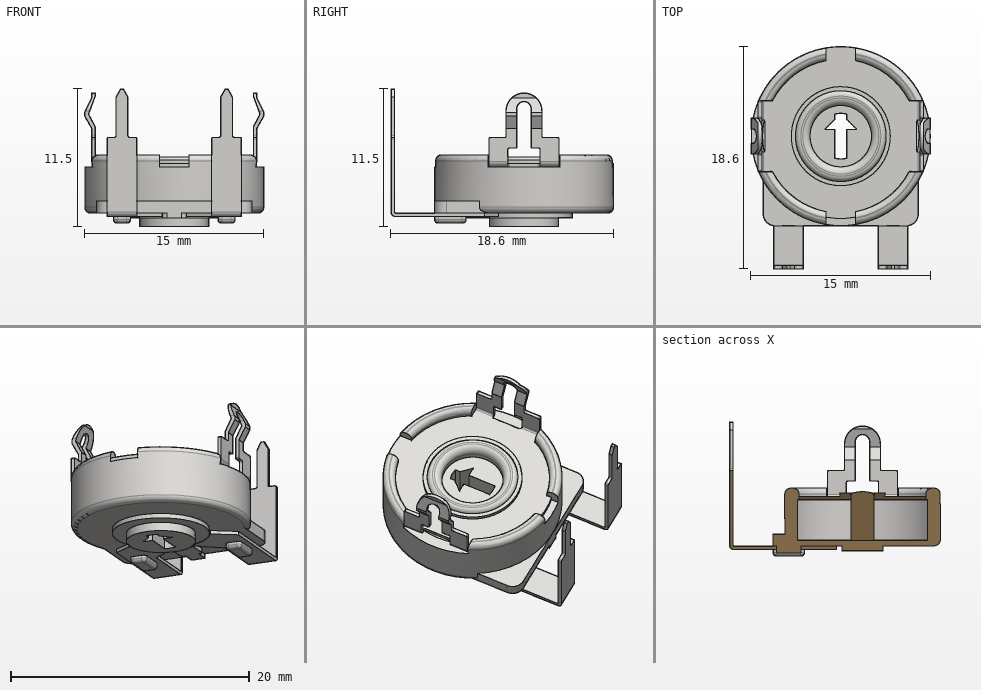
import cadquery as cq
import math


overall_length = 18.64
sheet = 0.3
margin = 0.19

housing_radius = 15.0 / 2
housing_bottom_fillet = 0.5
ledge_z = 3.88
cavity_radius = 13.1 / 2
floor_z = 0.5
rim_top_z = 4.88
rim_inner_radius = 6.45
rim_fillet = 0.5
side_notch_width = 6.0
end_notch_width = 2.46
slab_half_width = 6.5
slab_height = 1.0
slab_front_y = -7.51
slab_corner_radius = 1.0
collar_radius = 4.06
collar_depth = 0.4
rib_width = 1.23
rib_root_width = 2.01
rib_root_front_y = -6.34
rib_root_radius = 0.4

pad_width = 1.44
pad_length = 2.65
pad_center_y = -6.17
pad_bottom_z = -0.84
pad_corner_radius = 0.34
pad_bottom_fillet = 0.3

rotor_radius = 3.8
rotor_top_z = 4.72
rotor_outer_fillet = 0.45
shaft_radius = 5.8 / 2
shaft_bottom_z = -1.12
cup_radius = 2.57
cup_floor_z = 3.67
cup_mouth_fillet = 0.62
arrow_radius = 3.8 / 2
arrow_shaft_width = 0.99
arrow_head_width = 2.65
arrow_head_base_y = 0.58

cover_top_z = ledge_z + sheet
cover_collar_radius = 8.3 / 2
cover_collar_height = 0.28
cover_collar_top_z = cover_top_z + cover_collar_height
cover_front_tab_radius = 6.9

clip_outer_x = 6.92
clip_elbow_x = 7.51
clip_root_x = 6.35
clip_half_width = 2.95
clip_foot_gap_half = 1.35
clip_foot_gap_top_z = 5.45
clip_shoulder_z = 6.34
clip_neck_half = 1.51
clip_slot_half = 0.6
clip_slot_top_z = 9.34
clip_top_z = 10.07
clip_corner_fillet = 0.11
clip_bend_radius = 0.45
kink_bottom_z = 7.15
kink_elbow_z = 8.3
kink_top_z = 9.73
kink_lag = 0.07
elbow_thickness = 0.34
elbow_flat = 0.15
foot_gap_corner_radius = 0.15

terminal_x = 4.38
terminal_width = 2.5
terminal_front_y = housing_radius - overall_length
terminal_end_y = -3.32
terminal_shoulder_z = 6.35
terminal_top_z = 10.38
pin_width = 1.0
pin_tip_width = 0.26
pin_taper_z = 9.71
shoulder_fillet = 0.13
terminal_bend_radius = 0.4
hook_radius = 4.18
hook_end_y = -2.12
hook_tip_x = 1.05
hook_tip_y = -4.47
hook_root_y = -5.96


def cylinder(radius, bottom_z, top_z):
    return cq.Workplane("XY").workplane(offset=bottom_z).circle(radius).extrude(top_z - bottom_z)


def block(x_range, y_range, z_range):
    size = [high - low for low, high in (x_range, y_range, z_range)]
    corner = (x_range[0], y_range[0], z_range[0])
    return cq.Workplane("XY").box(*size, centered=False).translate(corner)


def rivet_pad(x):
    pad = block(
        (x - pad_width / 2, x + pad_width / 2),
        (pad_center_y - pad_length / 2, pad_center_y + pad_length / 2),
        (pad_bottom_z, floor_z),
    )
    return pad.edges("|Z").fillet(pad_corner_radius).faces("<Z").edges().fillet(pad_bottom_fillet)


def make_rim():
    rim = cylinder(housing_radius, ledge_z, rim_top_z).cut(cylinder(rim_inner_radius, ledge_z, rim_top_z))
    rim = rim.faces(">Z").edges().fillet(rim_fillet)
    reach = 2 * housing_radius
    height = rim_top_z - ledge_z
    for x_size, y_size in ((reach, side_notch_width), (end_notch_width, reach)):
        notch = cq.Workplane("XY").box(x_size, y_size, height, centered=(True, True, False))
        rim = rim.cut(notch.translate((0, 0, ledge_z)))
    return rim


def make_housing():
    body = cylinder(housing_radius, 0, ledge_z).faces("<Z").edges().fillet(housing_bottom_fillet)
    slab = block((-slab_half_width, slab_half_width), (slab_front_y, 0), (0, slab_height))
    slab = slab.edges("|Z and <Y").fillet(slab_corner_radius)
    collar = cylinder(collar_radius, -collar_depth, slab_height)
    rib = block((-rib_width / 2, rib_width / 2), (slab_front_y, 0), (-collar_depth, slab_height))
    rib_root = block(
        (-rib_root_width / 2, rib_root_width / 2), (rib_root_front_y, 0), (-collar_depth, slab_height)
    )
    rib_root = rib_root.edges("|Z and <Y").fillet(rib_root_radius)
    body = body.union(slab).union(collar).union(rib).union(rib_root).union(make_rim())
    for side in (-1, 1):
        body = body.union(rivet_pad(side * terminal_x))
    body = body.cut(cylinder(cavity_radius, floor_z, ledge_z))
    return body.cut(cylinder(shaft_radius, -collar_depth, floor_z))


def arrow_slot():
    half_shaft = arrow_shaft_width / 2
    half_head = arrow_head_width / 2
    head_side_y = arrow_head_base_y + half_head - half_shaft
    right_side = [
        (half_shaft, -arrow_radius),
        (half_shaft, arrow_head_base_y),
        (half_head, arrow_head_base_y),
        (half_shaft, head_side_y),
        (half_shaft, arrow_radius),
    ]
    left_side = [(-x, y) for x, y in reversed(right_side)]
    depth = cup_floor_z - shaft_bottom_z
    slot = cq.Workplane("XY").workplane(offset=shaft_bottom_z)
    slot = slot.polyline(right_side + left_side).close().extrude(depth)
    return slot.intersect(cylinder(arrow_radius, shaft_bottom_z, cup_floor_z))


def make_rotor():
    rotor = cylinder(rotor_radius, floor_z, rotor_top_z)
    rotor = rotor.faces(">Z").edges().fillet(rotor_outer_fillet)
    rotor = rotor.union(cylinder(shaft_radius, shaft_bottom_z, floor_z))
    rotor = rotor.cut(cylinder(cup_radius, cup_floor_z, rotor_top_z))
    inner_edge = cq.selectors.RadiusNthSelector(0)
    rotor = rotor.faces(">Z").edges(inner_edge).fillet(cup_mouth_fillet)
    return rotor.cut(arrow_slot())


def clip_outline():
    """Clip seen along X: two feet, a neck and a round arch with a slot, as a thick blank."""
    arch_z = clip_top_z - clip_neck_half
    slot_arch_z = clip_slot_top_z - clip_slot_half
    outline = (
        cq.Workplane("YZ")
        .moveTo(clip_foot_gap_half, ledge_z)
        .lineTo(clip_half_width, ledge_z)
        .lineTo(clip_half_width, clip_shoulder_z)
        .lineTo(clip_neck_half, clip_shoulder_z)
        .lineTo(clip_neck_half, arch_z)
        .threePointArc((0, clip_top_z), (-clip_neck_half, arch_z))
        .lineTo(-clip_neck_half, clip_shoulder_z)
        .lineTo(-clip_half_width, clip_shoulder_z)
        .lineTo(-clip_half_width, ledge_z)
        .lineTo(-clip_foot_gap_half, ledge_z)
        .lineTo(-clip_foot_gap_half, clip_foot_gap_top_z)
        .lineTo(-clip_slot_half, clip_foot_gap_top_z)
        .lineTo(-clip_slot_half, slot_arch_z)
        .threePointArc((0, clip_slot_top_z), (clip_slot_half, slot_arch_z))
        .lineTo(clip_slot_half, clip_foot_gap_top_z)
        .lineTo(clip_foot_gap_half, clip_foot_gap_top_z)
        .close()
        .extrude(clip_elbow_x + margin)
    )
    corners = cq.selectors.BoxSelector(
        (0, -clip_half_width - margin, clip_foot_gap_top_z - margin),
        (clip_elbow_x + margin, clip_half_width + margin, clip_shoulder_z + margin),
    )
    return outline.edges("|X").edges(corners).fillet(clip_corner_fillet)


def clip_sheet():
    """Clip seen along Y: sheet bent up from the cover, kinked outward and back."""
    inner_x = clip_outer_x - sheet
    elbow_inner_x = clip_elbow_x - elbow_thickness
    profile = [
        (clip_root_x, ledge_z),
        (clip_outer_x, ledge_z),
        (clip_outer_x, kink_bottom_z - kink_lag),
        (clip_elbow_x, kink_elbow_z - elbow_flat),
        (clip_elbow_x, kink_elbow_z + elbow_flat),
        (clip_outer_x, kink_top_z - kink_lag),
        (clip_outer_x, clip_top_z),
        (inner_x, clip_top_z),
        (inner_x, kink_top_z + kink_lag),
        (elbow_inner_x, kink_elbow_z),
        (inner_x, kink_bottom_z + kink_lag),
        (inner_x, cover_top_z),
        (clip_root_x, cover_top_z),
    ]
    strip = cq.Workplane("XZ").polyline(profile).close().extrude(clip_half_width, both=True)
    strip = strip.edges(cq.NearestToPointSelector((clip_outer_x, 0, ledge_z))).fillet(clip_bend_radius)
    inner_bend = cq.NearestToPointSelector((inner_x, 0, cover_top_z))
    return strip.edges(inner_bend).fillet(clip_bend_radius - sheet)


def cover_tab(direction, radius):
    """Tab along +Y or -Y, rounded off at the given radius."""
    y_range = sorted((0, direction * housing_radius))
    tab = block((-end_notch_width / 2, end_notch_width / 2), y_range, (ledge_z, cover_top_z))
    return tab.intersect(cylinder(radius, ledge_z, cover_top_z))


def make_cover():
    x_range = (-clip_root_x, clip_root_x)
    z_range = (ledge_z, cover_top_z)
    trimming = block(x_range, (-housing_radius, housing_radius), z_range)
    wings = block(x_range, (-clip_half_width, clip_half_width), z_range)
    cover = cylinder(rim_inner_radius, ledge_z, cover_top_z).intersect(trimming).union(wings)
    cover = cover.union(cover_tab(1, housing_radius))
    cover = cover.union(cover_tab(-1, cover_front_tab_radius))
    cover = cover.union(cylinder(cover_collar_radius, ledge_z, cover_collar_top_z))
    clip = clip_sheet().intersect(clip_outline())
    cover = cover.union(clip).union(clip.mirror("YZ"))
    for x in (-clip_root_x, clip_root_x):
        for y in (-clip_foot_gap_half, clip_foot_gap_half):
            corner = cq.NearestToPointSelector((x, y, ledge_z + sheet / 2))
            cover = cover.edges("|Z").edges(corner).fillet(foot_gap_corner_radius)
    return cover.cut(cylinder(rotor_radius, ledge_z, cover_collar_top_z))


def terminal_blade():
    half = terminal_width / 2
    half_pin = pin_width / 2
    half_tip = pin_tip_width / 2
    right_side = [
        (half, -sheet),
        (half, terminal_shoulder_z),
        (half_pin, terminal_shoulder_z),
        (half_pin, pin_taper_z),
        (half_tip, terminal_top_z),
    ]
    left_side = [(-x, z) for x, z in reversed(right_side)]
    blade = cq.Workplane("XZ", origin=(terminal_x, terminal_front_y + sheet, 0))
    blade = blade.polyline(right_side + left_side).close().extrude(sheet)
    shoulders = cq.selectors.BoxSelector(
        (terminal_x - half - margin, terminal_front_y - margin, terminal_shoulder_z - margin),
        (terminal_x + half + margin, terminal_front_y + sheet + margin, terminal_shoulder_z + margin),
    )
    return blade.edges("|Y").edges(shoulders).fillet(shoulder_fillet)


def terminal_foot():
    """Flat strip under the housing; its end hooks around the housing collar."""
    inner_x = terminal_x - terminal_width / 2
    outer_x = terminal_x + terminal_width / 2
    tip_y = -math.sqrt(hook_radius**2 - hook_tip_x**2)
    end_x = math.sqrt(hook_radius**2 - hook_end_y**2)
    middle = hook_radius / math.sqrt(2)
    return (
        cq.Workplane("XY")
        .moveTo(inner_x, terminal_front_y)
        .lineTo(outer_x, terminal_front_y)
        .lineTo(outer_x, terminal_end_y)
        .lineTo(end_x, hook_end_y)
        .threePointArc((middle, -middle), (hook_tip_x, tip_y))
        .lineTo(hook_tip_x, hook_tip_y)
        .lineTo(inner_x, hook_root_y)
        .close()
        .extrude(-sheet)
    )


def make_terminal(side):
    """Terminal at +X for side = 1, its mirror image at -X for side = -1."""
    terminal = terminal_foot().union(terminal_blade())
    outer_bend = cq.NearestToPointSelector((terminal_x, terminal_front_y, -sheet))
    terminal = terminal.edges("|X").edges(outer_bend).fillet(terminal_bend_radius)
    inner_bend = cq.NearestToPointSelector((terminal_x, terminal_front_y + sheet, 0))
    terminal = terminal.edges("|X").edges(inner_bend).fillet(terminal_bend_radius - sheet)
    terminal = terminal.cut(rivet_pad(terminal_x))
    return terminal if side > 0 else terminal.mirror("YZ")


housing = make_housing()
rotor = make_rotor()
cover = make_cover()
terminals = [make_terminal(side) for side in (-1, 1)]

result = cq.Compound.makeCompound(
    [housing.val(), rotor.val(), cover.val(), *[terminal.val() for terminal in terminals]]
)